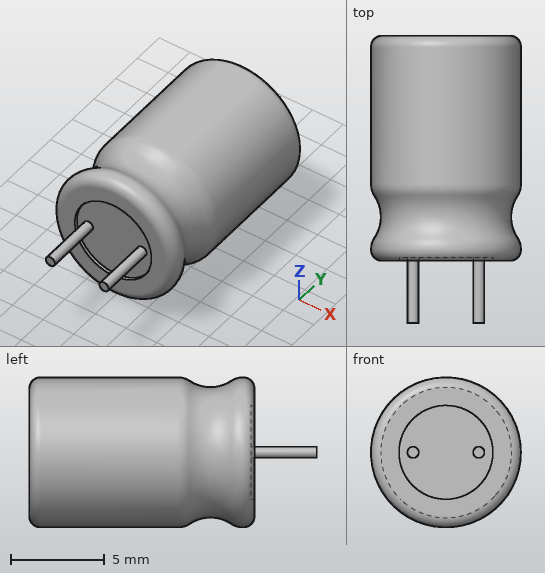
import cadquery as cq
import math


can_radius = 4.0
can_length = 12.0
end_round = 0.6

groove_center = 2.35
groove_depth = 0.52
groove_half_length = 1.7
shoulder_radius = 1.02

recess_radius = 2.5
recess_depth = 0.2

lead_diameter = 0.6
lead_pitch = 3.5
lead_protrusion = 3.31

arc_radius_sum = (groove_half_length**2 + groove_depth**2) / (2 * groove_depth)
blend_angle = math.asin(groove_half_length / arc_radius_sum)


def shoulder_point(angle, side):
    """Profile point on a shoulder arc, at an angle from the can wall; side is -1 front, +1 rear."""
    radius = can_radius - shoulder_radius * (1 - math.cos(angle))
    y = groove_center + side * (groove_half_length - shoulder_radius * math.sin(angle))
    return radius, y


def make_can():
    """Solid can with rounded ends and the crimp groove, revolved about Y."""
    round_offset = end_round * (1 - math.sqrt(0.5))
    flat_radius = can_radius - end_round
    profile = (
        cq.Workplane("XY")
        .lineTo(flat_radius, 0)
        .threePointArc((can_radius - round_offset, round_offset), (can_radius, end_round))
        .lineTo(*shoulder_point(0, -1))
        .threePointArc(shoulder_point(blend_angle / 2, -1), shoulder_point(blend_angle, -1))
        .threePointArc((can_radius - groove_depth, groove_center), shoulder_point(blend_angle, 1))
        .threePointArc(shoulder_point(blend_angle / 2, 1), shoulder_point(0, 1))
        .lineTo(can_radius, can_length - end_round)
        .threePointArc(
            (can_radius - round_offset, can_length - round_offset),
            (flat_radius, can_length),
        )
        .lineTo(0, can_length)
        .close()
    )
    return profile.revolve(360, (0, 0, 0), (0, 1, 0))


def make_recess():
    """Shallow round pocket that exposes the seal."""
    return cq.Workplane("XZ").circle(recess_radius).extrude(-recess_depth)


def make_leads():
    """Two round leads rising from the recess floor."""
    return (
        cq.Workplane("XZ", origin=(0, recess_depth, 0))
        .pushPoints([(-lead_pitch / 2, 0), (lead_pitch / 2, 0)])
        .circle(lead_diameter / 2)
        .extrude(recess_depth + lead_protrusion)
    )


result = make_can().cut(make_recess()).union(make_leads())